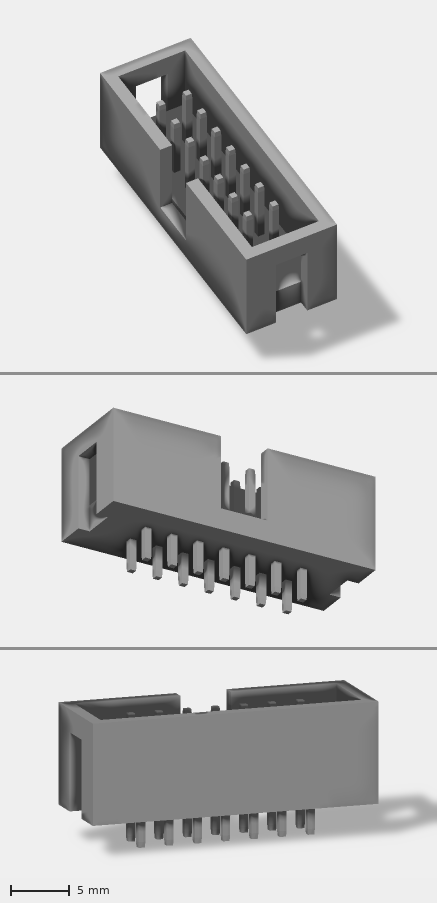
import cadquery as cq


length = 25.72
depth = 8.8
height = 8.9
end_wall = 1.1
side_wall = 1.15
floor_thickness = 2.5

key_width = 4.55
key_sill = 2.0

end_slot_width = 3.03
end_slot_top = 6.9

pins_per_row = 7
row_count = 2
row_span = 15.25
pitch = row_span / (pins_per_row - 1)
pin_width = 0.65
pin_overall_height = 11.14
pin_tail = 2.9
tip_height = 0.51
tip_inset = 0.045
pin_group_shift = -0.17


def block(size_x, size_y, bottom, top):
    """Box centred on the Z axis between two heights."""
    return cq.Workplane("XY", origin=(0, 0, bottom)).rect(size_x, size_y).extrude(top - bottom)


def make_housing():
    cavity = block(length - 2 * end_wall, depth - 2 * side_wall, floor_thickness, height)
    housing = block(length, depth, 0, height).cut(cavity)

    key_y = -(depth - side_wall) / 2
    housing = housing.cut(block(key_width, side_wall, key_sill, height).translate((0, key_y, 0)))

    end_slot = block(end_wall, end_slot_width, 0, end_slot_top)
    for side in (-1, 1):
        housing = housing.cut(end_slot.translate((side * (length - end_wall) / 2, 0, 0)))
    return housing


def make_pin():
    """Square pin with a tapered tip at each end."""
    tip_width = pin_width - 2 * tip_inset
    shank_bottom = tip_height - pin_tail
    shank_top = pin_overall_height - pin_tail - tip_height
    pin = block(pin_width, pin_width, shank_bottom, shank_top)
    for base, offset in ((shank_bottom, -tip_height), (shank_top, tip_height)):
        tip = (
            cq.Workplane("XY", origin=(0, 0, base))
            .rect(pin_width, pin_width)
            .workplane(offset=offset)
            .rect(tip_width, tip_width)
            .loft(ruled=True)
        )
        pin = pin.union(tip)
    return pin


result = make_housing()
pin = make_pin()
for column in range(pins_per_row):
    pin_x = pin_group_shift - row_span / 2 + column * pitch
    for row in range(row_count):
        pin_y = (row - (row_count - 1) / 2) * pitch
        result = result.union(pin.translate((pin_x, pin_y, 0)))